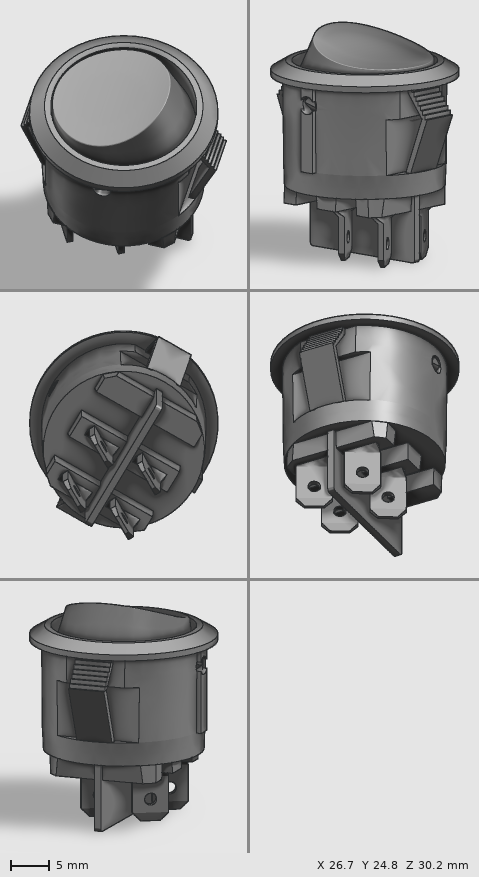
import cadquery as cq
import math


BEZEL_RADIUS = 12.4
BEZEL_TOP_RADIUS = 10.43
BEZEL_RIM_HEIGHT = 0.8
BEZEL_HEIGHT = 1.97
OPENING_RADIUS = 9.6
OPENING_FLOOR_Z = -3.8

BARREL_TOP_RADIUS = 10.83
BARREL_STEP_RADIUS = 10.74
BARREL_BOTTOM_RADIUS = 10.6
BARREL_STEP_Z = -11.5
BARREL_BOTTOM_Z = -14.65
UPPER_FLAT_X = 10.0
LOWER_FLAT_X = 9.08
FLAT_STEP_Z = -4.05

RIB_WIDTH = 2.05
RIB_OUTER_Y = 11.38

PIVOT_Z = -2.5
PIVOT_HOLE_DIAMETER = 2.4
PIN_DIAMETER = 1.9
PIN_END_Y = 10.7
PIN_BEVEL_ANGLE = 45.0
ROCKER_TILT = 14.0
ROCKER_TIP_HALF_WIDTH = 7.98
ROCKER_TIP_HEIGHT = 6.96
ROCKER_BASE_RADIUS = 9.45
ROCKER_SKIRT_DEPTH = PIVOT_Z - OPENING_FLOOR_Z
ROCKER_FLAT_Y = 9.0
ROCKER_DISH_SAG = 0.95
ROCKER_RIM_FILLET = 0.15

CLIP_WIDTH = 5.0
CLIP_STEP_COUNT = 7
CLIP_TOP_X = 10.6
CLIP_APEX_X = 13.35
CLIP_APEX_Z = -3.98
CLIP_INNER_APEX_X = 12.43
CLIP_INNER_TOP_Z = -0.8
CLIP_FOOT_OUTER_X = 10.43
CLIP_FOOT_INNER_X = 9.57

PLINTH_BOTTOM_Z = -17.1
COLUMN_PITCH = 7.0
MIDDLE_PLINTH_HALF_WIDTH = 1.84
MIDDLE_PLINTH_TAPER = 0.24
OUTER_PLINTH_TOP_INNER_X = COLUMN_PITCH - 1.79
OUTER_PLINTH_TOP_CORNER_X = COLUMN_PITCH + 0.42
OUTER_PLINTH_TOP_OUTER_X = COLUMN_PITCH + 1.79
OUTER_PLINTH_TOP_CORNER_Y = 5.87
OUTER_PLINTH_BOTTOM_INNER_X = COLUMN_PITCH - 1.56
OUTER_PLINTH_BOTTOM_CORNER_X = COLUMN_PITCH + 0.55
OUTER_PLINTH_BOTTOM_OUTER_X = COLUMN_PITCH + 1.62
OUTER_PLINTH_BOTTOM_CORNER_Y = 6.15
PLINTH_FRONT_Y = -7.5
PLINTH_BACK_Y = 7.54
PLINTH_FRONT_TAPER = 0.16

BLADE_WIDTH = 4.8
BLADE_THICKNESS = 0.8
BLADE_TWIST = 30.0
BLADE_NECK_SHIFT_Y = 0.13
BLADE_SHOULDER_Z = -18.1
BLADE_TAPER_Z = -23.0
BLADE_TIP_Z = -24.1
BLADE_TIP_WIDTH = 2.6
BLADE_TIP_THICKNESS = 0.5
BLADE_HOLE_DIAMETER = 1.6
BLADE_HOLE_Z = -21.15
BLADE_OFFSET_X = 0.04
BLADE_COLUMNS_X = (-COLUMN_PITCH + BLADE_OFFSET_X, BLADE_OFFSET_X)
BLADE_ROWS_Y = (-3.48, 3.77)

BARRIER_LENGTH = 18.6
BARRIER_THICKNESS = 0.92
BARRIER_BOTTOM_Z = -24.0
BARRIER_FILLET = 0.5

OVERLAP = 0.3


def box(x0, x1, y0, y1, z0, z1):
    """Axis-aligned block between the given limits."""
    return cq.Workplane("XY").box(x1 - x0, y1 - y0, z1 - z0, centered=False).translate((x0, y0, z0))


def revolve_profile(points):
    """Revolve (radius, z) points around the Z axis."""
    return cq.Workplane("XZ").polyline(points).close().revolve(360, (0, 0, 0), (0, 1, 0))


def make_housing():
    """Bezel and barrel with side flats, pivot holes and the anti-rotation rib."""
    housing = revolve_profile([
        (0, BARREL_BOTTOM_Z),
        (BARREL_BOTTOM_RADIUS, BARREL_BOTTOM_Z),
        (BARREL_STEP_RADIUS, BARREL_STEP_Z),
        (BARREL_TOP_RADIUS, 0),
        (BEZEL_RADIUS, 0),
        (BEZEL_RADIUS, BEZEL_RIM_HEIGHT),
        (BEZEL_TOP_RADIUS, BEZEL_HEIGHT),
        (OPENING_RADIUS, BEZEL_HEIGHT),
        (OPENING_RADIUS, OPENING_FLOOR_Z),
        (0, OPENING_FLOOR_Z),
    ])
    reach = BEZEL_RADIUS
    for x0, x1 in ((-reach, -UPPER_FLAT_X), (UPPER_FLAT_X, reach)):
        housing = housing.cut(box(x0, x1, -reach, reach, FLAT_STEP_Z, 0))
    for x0, x1 in ((-reach, -LOWER_FLAT_X), (LOWER_FLAT_X, reach)):
        housing = housing.cut(box(x0, x1, -reach, reach, BARREL_STEP_Z, FLAT_STEP_Z))
    rib = box(-RIB_WIDTH / 2, RIB_WIDTH / 2, OPENING_RADIUS + OVERLAP, RIB_OUTER_Y, BARREL_STEP_Z, 0)
    pivot_hole = (
        cq.Workplane("XZ", origin=(0, 0, PIVOT_Z))
        .circle(PIVOT_HOLE_DIAMETER / 2)
        .extrude(BEZEL_RADIUS, both=True)
    )
    core = (
        cq.Workplane("XY", origin=(0, 0, BARREL_BOTTOM_Z))
        .circle(OPENING_RADIUS)
        .extrude(BEZEL_HEIGHT - BARREL_BOTTOM_Z)
    )
    return housing.union(rib).cut(pivot_hole.cut(core))


def make_pivot_pins():
    """Pins along Y through the pivot, the lower half of each end bevelled."""
    radius = PIN_DIAMETER / 2
    pins = cq.Workplane("XZ").circle(radius).extrude(PIN_END_Y, both=True)
    bevel_length = radius * math.tan(math.radians(PIN_BEVEL_ANGLE))
    for side in (-1, 1):
        bevel = (
            cq.Workplane("YZ", origin=(-radius, 0, 0))
            .polyline([
                (side * PIN_END_Y, 0),
                (side * PIN_END_Y, -radius),
                (side * (PIN_END_Y - bevel_length), -radius),
            ])
            .close()
            .extrude(PIN_DIAMETER)
        )
        pins = pins.cut(bevel)
    return pins


def make_rocker():
    """Leaning cone with a dished top, tilted about the pivot."""
    lean = (ROCKER_BASE_RADIUS - ROCKER_TIP_HALF_WIDTH) / ROCKER_TIP_HEIGHT
    blank_height = ROCKER_TIP_HEIGHT + ROCKER_DISH_SAG
    rocker = revolve_profile([
        (0, -ROCKER_SKIRT_DEPTH),
        (ROCKER_BASE_RADIUS, -ROCKER_SKIRT_DEPTH),
        (ROCKER_BASE_RADIUS, 0),
        (ROCKER_BASE_RADIUS - lean * blank_height, blank_height),
        (0, blank_height),
    ])
    dish_radius = (ROCKER_TIP_HALF_WIDTH**2 + ROCKER_DISH_SAG**2) / (2 * ROCKER_DISH_SAG)
    dish_centre_z = ROCKER_TIP_HEIGHT - ROCKER_DISH_SAG + dish_radius
    dish = (
        cq.Workplane("XZ", origin=(0, 0, dish_centre_z))
        .circle(dish_radius)
        .extrude(ROCKER_BASE_RADIUS, both=True)
    )
    rocker = rocker.cut(dish)
    rim = cq.selectors.BoxSelector(
        (-BEZEL_RADIUS, -BEZEL_RADIUS, ROCKER_TIP_HEIGHT / 2),
        (BEZEL_RADIUS, BEZEL_RADIUS, blank_height),
    )
    rocker = rocker.edges(rim).fillet(ROCKER_RIM_FILLET)
    reach = BEZEL_RADIUS
    rocker = rocker.intersect(box(-reach, reach, -ROCKER_FLAT_Y, ROCKER_FLAT_Y, -reach, reach))
    rocker = rocker.union(make_pivot_pins())
    return rocker.rotate((0, 0, 0), (0, 1, 0), -ROCKER_TILT).translate((0, 0, PIVOT_Z))


def make_clip():
    """Stepped spring clip on the +X side."""
    step_x = (CLIP_APEX_X - CLIP_TOP_X) / CLIP_STEP_COUNT
    step_z = CLIP_APEX_Z / CLIP_STEP_COUNT
    outline = [(UPPER_FLAT_X - OVERLAP, OVERLAP), (CLIP_TOP_X, OVERLAP)]
    for step in range(CLIP_STEP_COUNT):
        x = CLIP_TOP_X + step * step_x
        z = (step + 1) * step_z
        outline += [(x, z), (x + step_x, z)]
    outline += [
        (CLIP_FOOT_OUTER_X, BARREL_STEP_Z),
        (CLIP_FOOT_INNER_X + OVERLAP, BARREL_STEP_Z - OVERLAP),
        (CLIP_FOOT_INNER_X, BARREL_STEP_Z - OVERLAP),
        (CLIP_FOOT_INNER_X, BARREL_STEP_Z),
        (CLIP_INNER_APEX_X, CLIP_APEX_Z),
        (UPPER_FLAT_X, CLIP_INNER_TOP_Z),
        (UPPER_FLAT_X - OVERLAP, CLIP_INNER_TOP_Z),
    ]
    return cq.Workplane("XZ").polyline(outline).close().extrude(CLIP_WIDTH / 2, both=True)


def loft_sections(lower, lower_z, upper, upper_z):
    """Straight-sided loft between two horizontal outlines."""
    return (
        cq.Workplane("XY", origin=(0, 0, lower_z))
        .polyline(lower).close()
        .workplane(offset=upper_z - lower_z)
        .polyline(upper).close()
        .loft(ruled=True, combine=True)
    )


def make_middle_plinth():
    def section(half_width, front_y):
        return [(-half_width, front_y), (half_width, front_y),
                (half_width, PLINTH_BACK_Y), (-half_width, PLINTH_BACK_Y)]

    return loft_sections(
        section(MIDDLE_PLINTH_HALF_WIDTH - MIDDLE_PLINTH_TAPER, PLINTH_FRONT_Y + PLINTH_FRONT_TAPER),
        PLINTH_BOTTOM_Z,
        section(MIDDLE_PLINTH_HALF_WIDTH, PLINTH_FRONT_Y),
        BARREL_BOTTOM_Z,
    )


def make_outer_plinth():
    """Plinth on the +X side with its two outer corners cut off."""
    def section(inner_x, corner_x, outer_x, corner_y, front_y):
        return [(inner_x, front_y), (corner_x, front_y), (outer_x, -corner_y),
                (outer_x, corner_y), (corner_x, PLINTH_BACK_Y), (inner_x, PLINTH_BACK_Y)]

    return loft_sections(
        section(
            OUTER_PLINTH_BOTTOM_INNER_X,
            OUTER_PLINTH_BOTTOM_CORNER_X,
            OUTER_PLINTH_BOTTOM_OUTER_X,
            OUTER_PLINTH_BOTTOM_CORNER_Y,
            PLINTH_FRONT_Y + PLINTH_FRONT_TAPER,
        ),
        PLINTH_BOTTOM_Z,
        section(
            OUTER_PLINTH_TOP_INNER_X,
            OUTER_PLINTH_TOP_CORNER_X,
            OUTER_PLINTH_TOP_OUTER_X,
            OUTER_PLINTH_TOP_CORNER_Y,
            PLINTH_FRONT_Y,
        ),
        BARREL_BOTTOM_Z,
    )


def blade_section(thickness, width, angle):
    """Rectangle centred on the origin, turned about Z by the angle in degrees."""
    cosine = math.cos(math.radians(angle))
    sine = math.sin(math.radians(angle))
    corners = [(-1, -1), (1, -1), (1, 1), (-1, 1)]
    points = [(i * thickness / 2, j * width / 2) for i, j in corners]
    return [(x * cosine - y * sine, x * sine + y * cosine) for x, y in points]


def make_blade():
    """Terminal blade at the origin: twisted neck, flat blade, tapered tip."""
    straight = [
        (x, y + BLADE_NECK_SHIFT_Y)
        for x, y in blade_section(BLADE_THICKNESS, BLADE_WIDTH, 0)
    ]
    twisted = blade_section(BLADE_THICKNESS, BLADE_WIDTH, BLADE_TWIST)
    tip = blade_section(BLADE_TIP_THICKNESS, BLADE_TIP_WIDTH, BLADE_TWIST)
    neck = loft_sections(twisted, BLADE_SHOULDER_Z, straight, PLINTH_BOTTOM_Z)
    shank = loft_sections(twisted, BLADE_TAPER_Z, twisted, BLADE_SHOULDER_Z)
    point = loft_sections(tip, BLADE_TIP_Z, twisted, BLADE_TAPER_Z)
    hole = (
        cq.Workplane("YZ", origin=(-BLADE_THICKNESS, 0, BLADE_HOLE_Z))
        .circle(BLADE_HOLE_DIAMETER / 2)
        .extrude(2 * BLADE_THICKNESS)
        .rotate((0, 0, 0), (0, 0, 1), BLADE_TWIST)
    )
    return neck.union(shank).union(point).cut(hole)


def make_barrier():
    half_length = BARRIER_LENGTH / 2
    half_thickness = BARRIER_THICKNESS / 2
    barrier = box(-half_length, half_length, -half_thickness, half_thickness,
                  BARRIER_BOTTOM_Z, BARREL_BOTTOM_Z)
    return barrier.edges("|Y and <Z").fillet(BARRIER_FILLET)


def mirror_x(part):
    return part.mirror("YZ")


def build():
    part = make_housing().union(make_rocker())
    for sided in (make_clip(), make_outer_plinth()):
        part = part.union(sided).union(mirror_x(sided))
    part = part.union(make_middle_plinth()).union(make_barrier())
    blade = make_blade()
    for x in BLADE_COLUMNS_X:
        for y in BLADE_ROWS_Y:
            part = part.union(blade.translate((x, y, 0)))
    return part


result = build()